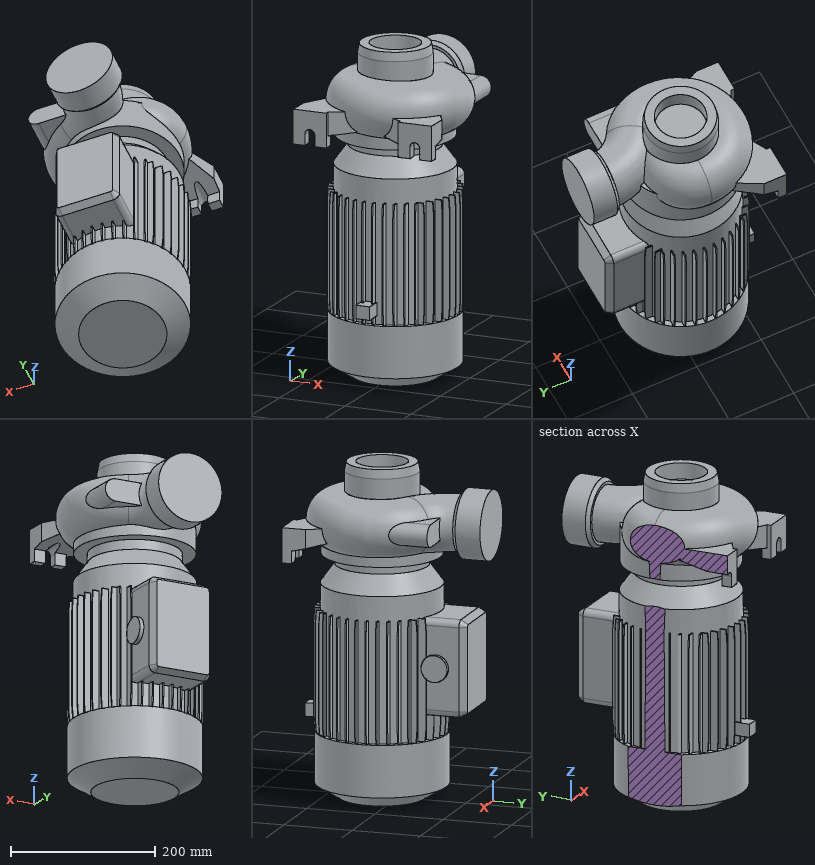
import cadquery as cq
import math

HEIGHT = 479.0
COVER_BASE_RADIUS = 61.5
COVER_RADIUS = 94.5
COVER_CONE_TOP = 20.0
COVER_TOP = 95.5
BODY_RADIUS = 86.0
FINS_TOP = 271.0
BODY_TOP = 306.0
ROOT_OVERLAP = 5.0
NECK_RADIUS = 66.0
NECK_CONE_TOP = 333.5
FLANGE_RADIUS = 85.5
FLANGE_BOTTOM = 347.8
FLANGE_TOP = 402.5

FIN_COUNT_PER_SIDE = 10
FIN_PITCH_ANGLE = 9.0
FIN_THICKNESS = 2.0
FIN_RADIUS = 96.0
FIN_END_DROP = 1.5
FIN_END_LENGTH = 19.0

BOX_HALF_WIDTH = 48.0
BOX_BOTTOM = 131.2
BOX_TOP = FINS_TOP
BOX_BACK = 139.0
BOX_EDGE_RADIUS = 9.5
BOX_LID_DEPTH = 10.5
BOX_LID_INSET = 6.0
GLAND_RADIUS = 19.0
GLAND_Y = 94.0
GLAND_END = 54.0

LUG_WIDTH = 21.0
LUG_HEIGHT = 19.5
LUG_BOTTOM = 107.5
LUG_FRONT = 110.0

VOLUTE_Z = 399.5
TUBE_RADIUS = 40.5
VOLUTE_CENTER_X = 7.5
VOLUTE_PATH_RADIUS = 62.7
VOLUTE_END_ANGLE = 60.0
TONGUE_PATH_RADIUS = 31.5
TONGUE_SWEEP = 120.0

COLLAR_RADIUS = 50.5
COLLAR_START = 118.5
COLLAR_END = 160.0
COLLAR_CHAMFER = 5.5

INLET_RADIUS = 52.5
INLET_RIM_RADIUS = 50.5
INLET_TAPER_START = 466.0
INLET_BORE_RADIUS = 36.5
INLET_BORE_DEPTH = 24.0

BAR_RADIUS = 16.5
BAR_X_START = 38.5
BAR_AXIS_X = 85.5
BAR_Y_START = 28.7
BAR_Y_END = 99.5

FOOT_OUTER_X = 105.5
FOOT_INNER_X = 54.5
FOOT_FRONT_Y = -112.0
FOOT_OUTER_BREAK_Y = -76.5
FOOT_INNER_BREAK_Y = -106.0
FOOT_WEB_OUTER = (67.0, -6.0)
FOOT_WEB_INNER = (19.0, -86.5)
FOOT_BOTTOM = 348.5
FOOT_TOP = VOLUTE_Z
LEG_BACK_Y = -97.5
WEB_BOTTOM_AT_LEG = 367.0
WEB_SLOPE = 0.23
SLOT_WIDTH = 15.0
SLOT_TOP = 372.5


def cylinder(radius, bottom, top):
    return cq.Workplane("XY").workplane(offset=bottom).circle(radius).extrude(top - bottom)


def block(x0, x1, y0, y1, z0, z1):
    return cq.Workplane("XY").box(x1 - x0, y1 - y0, z1 - z0, centered=False).translate((x0, y0, z0))


def make_motor():
    """Turned body from the bottom cover up to the volute flange."""
    profile = [
        (0, 0),
        (COVER_BASE_RADIUS, 0),
        (COVER_RADIUS, COVER_CONE_TOP),
        (COVER_RADIUS, COVER_TOP),
        (BODY_RADIUS, COVER_TOP),
        (BODY_RADIUS, BODY_TOP),
        (NECK_RADIUS, NECK_CONE_TOP),
        (NECK_RADIUS, FLANGE_BOTTOM),
        (FLANGE_RADIUS, FLANGE_BOTTOM),
        (FLANGE_RADIUS, FLANGE_TOP),
        (0, FLANGE_TOP),
    ]
    return cq.Workplane("XZ").polyline(profile).close().revolve(360, (0, 0), (0, 1))


def make_fins():
    """Fins in four groups; those of a group are parallel and end on a common circle."""
    fins = cq.Workplane("XY")
    for index in range(FIN_COUNT_PER_SIDE):
        angle = math.radians((index - (FIN_COUNT_PER_SIDE - 1) / 2) * FIN_PITCH_ANGLE)
        offset = FIN_RADIUS * math.sin(angle)
        root = BODY_RADIUS * math.cos(angle) - ROOT_OVERLAP
        tip = math.sqrt(FIN_RADIUS**2 - (abs(offset) + FIN_THICKNESS / 2) ** 2)
        profile = [
            (root, COVER_TOP),
            (tip - FIN_END_DROP, COVER_TOP),
            (tip, COVER_TOP + FIN_END_LENGTH),
            (tip, FINS_TOP - FIN_END_LENGTH),
            (tip - FIN_END_DROP, FINS_TOP),
            (root, FINS_TOP),
        ]
        fin = (
            cq.Workplane("YZ", origin=(offset, 0, 0))
            .polyline(profile)
            .close()
            .extrude(FIN_THICKNESS / 2, both=True)
        )
        for side in range(4):
            fins = fins.add(fin.rotate((0, 0, 0), (0, 0, 1), 90 * side))
    return fins.combine()


def make_terminal_box():
    box = block(-BOX_HALF_WIDTH, BOX_HALF_WIDTH, 0, BOX_BACK, BOX_BOTTOM, BOX_TOP)
    box = box.edges("|Y").fillet(BOX_EDGE_RADIUS)
    box = box.faces(">Y").chamfer(BOX_LID_INSET, BOX_LID_DEPTH)
    gland = (
        cq.Workplane("YZ")
        .center(GLAND_Y, (BOX_BOTTOM + BOX_TOP) / 2)
        .circle(GLAND_RADIUS)
        .extrude(GLAND_END)
    )
    return box.union(gland)


def make_lug():
    lug_back = -BODY_RADIUS + ROOT_OVERLAP
    return block(
        -LUG_WIDTH / 2, LUG_WIDTH / 2,
        -LUG_FRONT, lug_back,
        LUG_BOTTOM, LUG_BOTTOM + LUG_HEIGHT,
    )


def tube_bend(center, path_radius, start_angle, sweep):
    """Round tube turned about a vertical axis; a tight bend is filled up to that axis."""
    section = cq.Workplane("XZ")
    if path_radius > TUBE_RADIUS:
        section = section.moveTo(path_radius, 0).circle(TUBE_RADIUS)
    else:
        half_chord = math.sqrt(TUBE_RADIUS**2 - path_radius**2)
        section = (
            section.moveTo(0, -half_chord)
            .threePointArc((path_radius + TUBE_RADIUS, 0), (0, half_chord))
            .close()
        )
    bend = section.revolve(sweep, (0, 0), (0, 1))
    bend = bend.rotate((0, 0, 0), (0, 0, 1), start_angle)
    return bend.translate((center[0], center[1], VOLUTE_Z))


def make_volute():
    scroll = tube_bend((VOLUTE_CENTER_X, 0), VOLUTE_PATH_RADIUS, -180, 180 + VOLUTE_END_ANGLE)

    tongue_x = VOLUTE_CENTER_X - VOLUTE_PATH_RADIUS + TONGUE_PATH_RADIUS
    tongue = tube_bend((tongue_x, 0), TONGUE_PATH_RADIUS, 180 - TONGUE_SWEEP, TONGUE_SWEEP)

    cos_end = math.cos(math.radians(VOLUTE_END_ANGLE))
    sin_end = math.sin(math.radians(VOLUTE_END_ANGLE))
    scroll_end_x = VOLUTE_CENTER_X + VOLUTE_PATH_RADIUS * cos_end
    bend_radius = scroll_end_x / (1 - cos_end)
    bend_y = (VOLUTE_PATH_RADIUS + bend_radius) * sin_end
    outlet = tube_bend((bend_radius, bend_y), bend_radius, 180, VOLUTE_END_ANGLE)

    collar = (
        cq.Workplane("XZ", origin=(0, COLLAR_START, VOLUTE_Z))
        .circle(COLLAR_RADIUS)
        .extrude(COLLAR_START - COLLAR_END)
        .faces("<Y")
        .chamfer(COLLAR_CHAMFER)
    )
    return scroll.union(outlet).union(collar).union(tongue)


def make_inlet():
    profile = [
        (0, VOLUTE_Z),
        (INLET_RADIUS, VOLUTE_Z),
        (INLET_RADIUS, INLET_TAPER_START),
        (INLET_RIM_RADIUS, HEIGHT),
        (0, HEIGHT),
    ]
    return cq.Workplane("XZ").polyline(profile).close().revolve(360, (0, 0), (0, 1))


def make_bar():
    return (
        cq.Workplane("XZ", origin=(0, BAR_Y_START, VOLUTE_Z))
        .moveTo(BAR_X_START, -BAR_RADIUS)
        .lineTo(BAR_AXIS_X, -BAR_RADIUS)
        .threePointArc((BAR_AXIS_X + BAR_RADIUS, 0), (BAR_AXIS_X, BAR_RADIUS))
        .lineTo(BAR_X_START, BAR_RADIUS)
        .close()
        .extrude(BAR_Y_START - BAR_Y_END)
    )


def make_foot():
    """Right-hand foot: a web with a sloped underside, a leg and an open slot."""
    outline = [
        (FOOT_INNER_X, FOOT_FRONT_Y),
        (FOOT_OUTER_X, FOOT_FRONT_Y),
        (FOOT_OUTER_X, FOOT_OUTER_BREAK_Y),
        FOOT_WEB_OUTER,
        FOOT_WEB_INNER,
        (FOOT_INNER_X, FOOT_INNER_BREAK_Y),
    ]
    plan = cq.Workplane("XY").workplane(offset=FOOT_BOTTOM).polyline(outline).close()
    full_height_foot = plan.extrude(FOOT_TOP - FOOT_BOTTOM)

    def underside_z(y):
        return WEB_BOTTOM_AT_LEG + WEB_SLOPE * (y - LEG_BACK_Y)

    side_profile = [
        (FOOT_FRONT_Y, underside_z(FOOT_FRONT_Y)),
        (0, underside_z(0)),
        (0, FOOT_TOP),
        (FOOT_FRONT_Y, FOOT_TOP),
    ]
    web_envelope = cq.Workplane("YZ").polyline(side_profile).close().extrude(FOOT_OUTER_X)
    web = full_height_foot.intersect(web_envelope)
    leg_envelope = block(FOOT_INNER_X, FOOT_OUTER_X, FOOT_FRONT_Y, LEG_BACK_Y, FOOT_BOTTOM, FOOT_TOP)
    leg = full_height_foot.intersect(leg_envelope)

    slot_x = (FOOT_INNER_X + FOOT_OUTER_X) / 2
    slot_axis_z = SLOT_TOP - SLOT_WIDTH / 2
    slot = block(
        slot_x - SLOT_WIDTH / 2, slot_x + SLOT_WIDTH / 2,
        FOOT_FRONT_Y, 0, FOOT_BOTTOM, slot_axis_z,
    )
    slot_arch = (
        cq.Workplane("XZ", origin=(slot_x, FOOT_FRONT_Y, slot_axis_z))
        .circle(SLOT_WIDTH / 2)
        .extrude(FOOT_FRONT_Y)
    )
    return web.union(leg).cut(slot).cut(slot_arch)


foot = make_foot()
pump = (
    make_volute()
    .union(make_bar())
    .union(make_inlet())
    .union(foot)
    .union(foot.mirror("YZ"))
)
motor = make_motor().union(make_fins()).union(make_terminal_box()).union(make_lug())
inlet_bore = cylinder(INLET_BORE_RADIUS, HEIGHT - INLET_BORE_DEPTH, HEIGHT)
result = motor.union(pump).cut(inlet_bore)